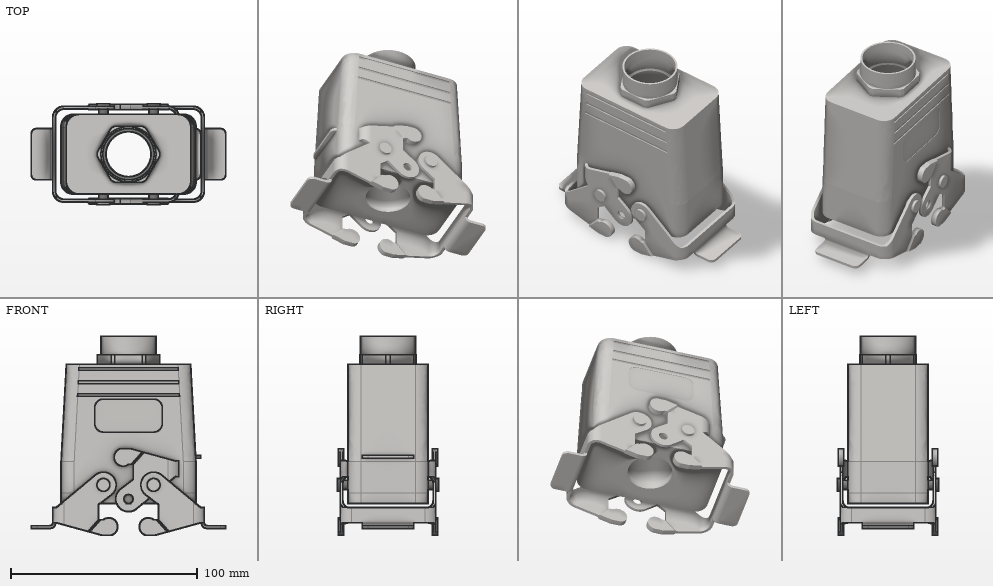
import cadquery as cq
import math


hood_height = 74.9
hood_length = 72.7
hood_top_length = 66.8
hood_width = 43.0
hood_corner_radius = 7.0
rim_height = 5.8
shoulder_height = 22.8
hood_shoulder_length = 72.5
cable_bore_diameter = 24.0

groove_height = 1.5
groove_depth = 0.5
groove_top_offsets = (1.9, 9.1, 15.9)

panel_length = 36.3
panel_height = 17.7
panel_corner_radius = 4.7
panel_depth = 0.2
panel_center_z = 47.2

hex_height = 5.0
hex_across_flats = 30.1
hex_corner_diameter = 33.6
collar_height = 9.9
collar_diameter = 29.6
collar_bore_diameter = 27.6
collar_bore_depth = 13.3
spigot_diameter = collar_bore_diameter
spigot_length = 4.3

sheet_thickness = 1.6
lever_width = 51.5
strap_reach = 27.3
strap_corner_radius = 6.1
strap_top = -12.1
strap_bottom = -20.4
strap_shoulder = 25.2
arm_end_radius = 6.8
notch_x = 2.6
notch_top = -10.6
notch_bottom = -18.7
hook_radius = 4.8
hook_center_x = -2.9
hook_center_z = -22.5
hook_bottom = -27.0
hook_heel_x = 1.0
hook_outer_y = 26.8
hook_inner_y = 23.7
ramp_width = 0.7
ramp_angle = math.radians(48)

tab_reach = 38.8
tab_width = 27.7
tab_bend_radius = 1.4
tab_corner_radius = 3.0

pin_spacing = 26.9
pin_z = 10.0
pin_diameter = 5.0
pin_root_depth = 1.1
pivot_hole_diameter = 4.9
pin_head_diameter = 7.0
width_over_heads = 54.4
upper_lever_pivot_z = 2.5

arm_outer_y = lever_width / 2
arm_inner_y = arm_outer_y - sheet_thickness
diagonal = math.sqrt(0.5)


def tapered_block(bottom_length, top_length, bottom_z, top_z):
    """Rounded block of full hood width whose length changes with height."""
    bottom = cq.Sketch().rect(bottom_length, hood_width).vertices().fillet(hood_corner_radius)
    top = cq.Sketch().rect(top_length, hood_width).vertices().fillet(hood_corner_radius)
    lift = cq.Location(cq.Vector(0, 0, top_z - bottom_z))
    return cq.Workplane("XY", origin=(0, 0, bottom_z)).placeSketch(bottom, top.moved(lift)).loft()


def hood_block():
    """Straight rim, slightly tapered middle and more strongly tapered top."""
    rim = tapered_block(hood_length, hood_length, 0, rim_height)
    middle = tapered_block(hood_length, hood_shoulder_length, rim_height, shoulder_height)
    upper = tapered_block(hood_shoulder_length, hood_top_length, shoulder_height, hood_height)
    return rim.union(middle).union(upper)


def grooves():
    """Three horizontal grooves per long side, ending where the corner rounding starts."""
    flat_bottom = hood_shoulder_length / 2 - hood_corner_radius
    flat_top = hood_top_length / 2 - hood_corner_radius
    flat_side = (
        cq.Workplane("XZ")
        .polyline([
            (-flat_bottom, shoulder_height),
            (flat_bottom, shoulder_height),
            (flat_top, hood_height),
            (-flat_top, hood_height),
        ])
        .close()
        .extrude(hood_width / 2, both=True)
    )
    bands = cq.Workplane("XY")
    for offset in groove_top_offsets:
        band_z = hood_height - offset - groove_height / 2
        band = cq.Workplane("XY").box(hood_length, hood_width, groove_height)
        core = cq.Workplane("XY").box(hood_length, hood_width - 2 * groove_depth, groove_height)
        bands = bands.add(band.cut(core).translate((0, 0, band_z)))
    return bands.combine().intersect(flat_side)


def name_panel():
    outline = cq.Sketch().rect(panel_length, panel_height).vertices().fillet(panel_corner_radius)
    return (
        cq.Workplane("XZ", origin=(0, -hood_width / 2, panel_center_z))
        .placeSketch(outline)
        .extrude(-panel_depth)
    )


def y_cylinder(diameter, start_y, end_y, side):
    """Cylinder along Y between two distances from the middle, on one side (+1 or -1)."""
    cylinder = cq.Workplane("XZ", origin=(0, -start_y, 0)).circle(diameter / 2).extrude(end_y - start_y)
    return cylinder if side < 0 else cylinder.mirror("XZ")


def pivot_pin(side):
    """Shoulder, journal and head of one pivot pin, along the Y axis."""
    shoulder = y_cylinder(pin_diameter, hood_width / 2 - pin_root_depth, arm_inner_y, side)
    journal = y_cylinder(pivot_hole_diameter, arm_inner_y, arm_outer_y, side)
    head = y_cylinder(pin_head_diameter, arm_outer_y, width_over_heads / 2, side)
    return shoulder.union(journal).union(head)


def pivot_pins():
    """Four pins, two on each long side of the hood."""
    pins = cq.Workplane("XY")
    for side in (-1, 1):
        for x in (-pin_spacing / 2, pin_spacing / 2):
            pins = pins.add(pivot_pin(side).translate((x, 0, pin_z)))
    return pins.combine()


def hood():
    body = hood_block().cut(grooves()).cut(name_panel()).union(pivot_pins())
    bore = cq.Workplane("XY").circle(cable_bore_diameter / 2).extrude(hood_height)
    seat = cq.Workplane("XY", origin=(0, 0, hood_height)).circle(spigot_diameter / 2).extrude(-spigot_length)
    return body.cut(bore).cut(seat)


def gland():
    """Trimmed hexagon with a collar above and a spigot below, bored in two steps."""
    hexagon = cq.Workplane("XY").polygon(6, hex_across_flats, circumscribed=True).extrude(hex_height)
    hexagon = hexagon.rotate((0, 0, 0), (0, 0, 1), 30)
    trim = cq.Workplane("XY").circle(hex_corner_diameter / 2).extrude(hex_height)
    collar = cq.Workplane("XY").circle(collar_diameter / 2).extrude(hex_height + collar_height)
    spigot = cq.Workplane("XY").circle(spigot_diameter / 2).extrude(-spigot_length)
    body = hexagon.intersect(trim).union(collar).union(spigot)
    body = body.faces(">Z").workplane()
    body = body.cboreHole(cable_bore_diameter, collar_bore_diameter, collar_bore_depth)
    return body.translate((0, 0, hood_height))


def tangent_point(x, z, turn):
    """Point where a line from (x, z) touches the round arm end; turn picks the side."""
    angle = math.atan2(z, x) + turn * math.acos(arm_end_radius / math.hypot(x, z))
    return arm_end_radius * math.cos(angle), arm_end_radius * math.sin(angle)


def lever_outline():
    """Side outline of the lever, as a prism across its whole width."""
    toe_x = hook_center_x - math.sqrt(hook_radius**2 - (hook_bottom - hook_center_z) ** 2)
    throat_x = hook_center_x + math.sqrt(hook_radius**2 - (notch_bottom - hook_center_z) ** 2)
    arm_end_middle = (-arm_end_radius * diagonal, arm_end_radius * diagonal)
    upper_tangent = tangent_point(strap_shoulder, strap_top, 1)
    lower_tangent = tangent_point(notch_x, notch_top, -1)
    return (
        cq.Workplane("XZ")
        .moveTo(*upper_tangent)
        .lineTo(strap_shoulder, strap_top)
        .lineTo(strap_reach, strap_top)
        .lineTo(strap_reach, strap_bottom)
        .lineTo(strap_shoulder, strap_bottom)
        .lineTo(hook_heel_x, hook_bottom)
        .lineTo(toe_x, hook_bottom)
        .threePointArc((hook_center_x - hook_radius, hook_center_z), (throat_x, notch_bottom))
        .lineTo(notch_x, notch_bottom)
        .lineTo(notch_x, notch_top)
        .lineTo(*lower_tangent)
        .threePointArc(arm_end_middle, upper_tangent)
        .close()
        .extrude(hook_outer_y, both=True)
    )


def bent_strap():
    """Sheet bent into a U around the hood, tall enough for the whole outline."""
    height = 4 * strap_reach
    outer = cq.Workplane("XY").box(2 * strap_reach, lever_width, height)
    outer = outer.edges("|Z and >X").fillet(strap_corner_radius)
    inner = cq.Workplane("XY").box(2 * strap_reach, 2 * arm_inner_y, height)
    inner = inner.edges("|Z and >X").fillet(strap_corner_radius - sheet_thickness)
    return outer.cut(inner.translate((-sheet_thickness, 0, 0)))


def hook_thickening():
    """Thick hook end of the +Y arm, joined to the sheet by short ramps."""
    across = (-math.sin(ramp_angle), 0, -math.cos(ramp_angle))
    along = (math.cos(ramp_angle), 0, -math.sin(ramp_angle))
    plane = cq.Plane(origin=(notch_x, 0, notch_bottom), xDir=across, normal=along)
    far = 4 * hook_radius
    return (
        cq.Workplane(plane)
        .polyline([
            (0, arm_inner_y),
            (ramp_width, hook_inner_y),
            (far, hook_inner_y),
            (far, hook_outer_y),
            (ramp_width, hook_outer_y),
            (0, arm_outer_y),
        ])
        .close()
        .extrude(far, both=True)
    )


def finger_tab():
    """Tab that leaves the lower edge of the strap and bends outward."""
    bend_outer = tab_bend_radius + sheet_thickness
    center_x = strap_reach + tab_bend_radius
    tab_top = strap_bottom - tab_bend_radius
    tab_bottom = strap_bottom - bend_outer
    inner_middle = (center_x - tab_bend_radius * diagonal, strap_bottom - tab_bend_radius * diagonal)
    outer_middle = (center_x - bend_outer * diagonal, strap_bottom - bend_outer * diagonal)
    tab = (
        cq.Workplane("XZ")
        .moveTo(strap_reach, strap_bottom)
        .threePointArc(inner_middle, (center_x, tab_top))
        .lineTo(tab_reach, tab_top)
        .lineTo(tab_reach, tab_bottom)
        .lineTo(center_x, tab_bottom)
        .threePointArc(outer_middle, (strap_reach - sheet_thickness, strap_bottom))
        .close()
        .extrude(tab_width / 2, both=True)
    )
    return tab.edges("|Z and >X").fillet(tab_corner_radius)


def lever():
    """Locking lever with its pivot axis on the Y axis and its strap toward +X."""
    thick_hook = hook_thickening()
    sheet = bent_strap().union(thick_hook).union(thick_hook.mirror("XZ"))
    pivot_hole = cq.Workplane("XZ").circle(pivot_hole_diameter / 2).extrude(lever_width, both=True)
    return sheet.intersect(lever_outline()).union(finger_tab()).cut(pivot_hole)


right_lever = lever().translate((pin_spacing / 2, 0, pin_z))
left_lever = right_lever.mirror("YZ")

upper_lever = lever().mirror("XY").translate((0, 0, upper_lever_pivot_z))
upper_lever = upper_lever.cut(right_lever).cut(left_lever).cut(pivot_pins())

housing = hood().cut(upper_lever)

result = cq.Compound.makeCompound([
    housing.solids().val(),
    gland().solids().val(),
    right_lever.solids().val(),
    left_lever.solids().val(),
    upper_lever.solids().val(),
])